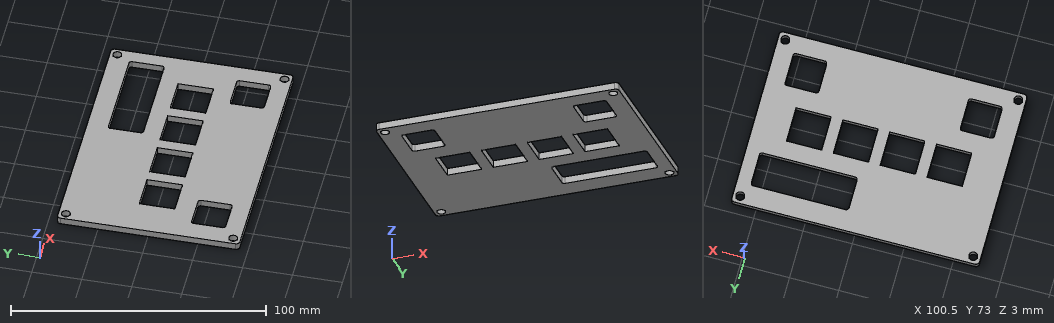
import cadquery as cq

plate_length = 100.5
plate_width = 73.0
plate_thickness = 3.0
plate_corner_radius = 1.5

mount_hole_diameter = 3.4
mount_hole_inset = 3.0

key_count = 4
key_size = 14.2
key_pitch = 19.0
key_row_x = 0.2
key_row_y = -0.4

knob_size = 13.6
knob_spacing = 71.0
knob_pair_x = 0.3
knob_y = -22.3

display_length = 39.5
display_width = 14.0
display_x = 24.7
display_y = 21.0

cutout_corner_radius = 1.0


def rounded_block(length, width, corner_radius):
    """Block of plate thickness with rounded vertical edges."""
    block = cq.Workplane("XY").box(length, width, plate_thickness)
    return block.edges("|Z").fillet(corner_radius)


result = rounded_block(plate_length, plate_width, plate_corner_radius)

result = (
    result.faces(">Z")
    .workplane(origin=(0, 0, 0))
    .rect(
        plate_length - 2 * mount_hole_inset,
        plate_width - 2 * mount_hole_inset,
        forConstruction=True,
    )
    .vertices()
    .hole(mount_hole_diameter)
)

for index in range(key_count):
    key_x = key_row_x + (index - (key_count - 1) / 2) * key_pitch
    key = cq.Workplane("XY").box(key_size, key_size, plate_thickness)
    result = result.cut(key.translate((key_x, key_row_y, 0)))

knob = rounded_block(knob_size, knob_size, cutout_corner_radius)
for side in (-1, 1):
    knob_x = knob_pair_x + side * knob_spacing / 2
    result = result.cut(knob.translate((knob_x, knob_y, 0)))

display = rounded_block(display_length, display_width, cutout_corner_radius)
result = result.cut(display.translate((display_x, display_y, 0)))